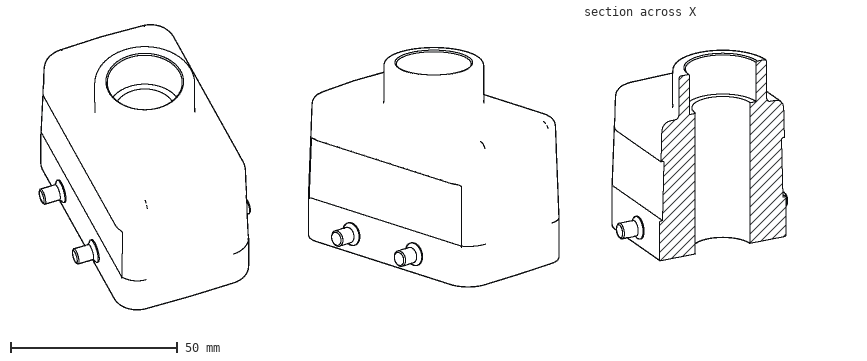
import cadquery as cq
import math

LENGTH = 72.6
WIDTH = 43.0
RIDGE_Z = 45.0
TOTAL_HEIGHT = 58.5
BASE_HEIGHT = 13.0
CORNER_RADIUS = 7.5
ROOF_EDGE_RADIUS = 3.0
FOOT_EDGE_RADIUS = 0.5

WALL_DRAFT = 1.5
PARTING_DRAFT = 1.0

PANEL_TOP_Z = 32.0
PANEL_BOTTOM_Y = 20.5
PANEL_TOP_Y = 20.0
PANEL_TOP_RADIUS = 0.5
LEDGE_RADIUS = 0.4

COLLAR_DIAMETER = 30.0
COLLAR_TOP_RADIUS = 1.0
COLLAR_FOOT_RADIUS = 1.0
BORE_DIAMETER = 22.5
BORE_DEPTH = 13.0
BORE_CHAMFER = 0.4
HOLE_DIAMETER = 18.5

PIN_SPAN_Y = 56.0
PIN_X = 13.3
PIN_Z = 6.2
PIN_DIAMETER = 4.8
PIN_TIP_CHAMFER = 0.4
PIN_SHOULDER_DIAMETER = 7.0
PIN_SHOULDER_STEP = 0.35
PIN_SHOULDER_HEIGHT = 1.4
PIN_ROOT_DEPTH = 1.0

TOLERANCE = 0.01

WALL_SLOPE = math.tan(math.radians(WALL_DRAFT))
PARTING_SLOPE = math.tan(math.radians(PARTING_DRAFT))


def plan_outline(inset):
    """Corners of the plan: a rectangle whose ends peak slightly at y = 0."""
    half_x = LENGTH / 2 - inset
    half_y = WIDTH / 2 - inset
    corner_x = half_x - half_y * PARTING_SLOPE
    return [
        (half_x, 0),
        (corner_x, half_y),
        (-corner_x, half_y),
        (-half_x, 0),
        (-corner_x, -half_y),
        (corner_x, -half_y),
    ]


def make_roof_limit():
    """Block with a ridged top that trims the body to the two roof slopes."""
    eave_z = RIDGE_Z - WIDTH / 2 * PARTING_SLOPE
    return (
        cq.Workplane("YZ")
        .polyline(
            [
                (-WIDTH / 2, 0),
                (WIDTH / 2, 0),
                (WIDTH / 2, eave_z),
                (0, RIDGE_Z),
                (-WIDTH / 2, eave_z),
            ]
        )
        .close()
        .extrude(LENGTH / 2, both=True)
    )


def round_corners(body):
    """Round the four upright corner edges, leaving the shallow peaks at y = 0 sharp."""
    corners = [
        edge
        for edge in body.edges().vals()
        if edge.BoundingBox().zlen >= BASE_HEIGHT and abs(edge.Center().y) > WIDTH / 4
    ]
    return body.newObject(corners).fillet(CORNER_RADIUS)


def make_base():
    """Straight-walled base with its foot edge rounded."""
    base = cq.Workplane("XY").polyline(plan_outline(0)).close().extrude(BASE_HEIGHT)
    return round_corners(base).faces("<Z").edges().fillet(FOOT_EDGE_RADIUS)


def round_roof_edge(body):
    """Round the rim of the roof, leaving out the ridge line."""
    lowest_eave_z = RIDGE_Z - WIDTH * PARTING_SLOPE
    rim = [
        edge
        for edge in body.edges().vals()
        if lowest_eave_z < edge.BoundingBox().zmin < RIDGE_Z - TOLERANCE
    ]
    return body.newObject(rim).fillet(ROOF_EDGE_RADIUS)


def make_upper():
    """Drafted upper part with rounded corners and a rounded roof rim."""
    upper_height = RIDGE_Z - BASE_HEIGHT
    upper = (
        cq.Workplane("XY", origin=(0, 0, BASE_HEIGHT))
        .polyline(plan_outline(0))
        .close()
        .workplane(offset=upper_height)
        .polyline(plan_outline(upper_height * WALL_SLOPE))
        .close()
        .loft(ruled=True)
        .intersect(make_roof_limit())
    )
    return round_roof_edge(round_corners(upper))


def make_panel_cutter():
    """Full-length bar removed from the +Y side of the upper part."""
    return (
        cq.Workplane("YZ")
        .polyline(
            [
                (PANEL_BOTTOM_Y, BASE_HEIGHT),
                (WIDTH, BASE_HEIGHT),
                (WIDTH, PANEL_TOP_Z),
                (PANEL_TOP_Y, PANEL_TOP_Z),
            ]
        )
        .close()
        .extrude(LENGTH / 2, both=True)
        .edges("|X and >Z and <Y")
        .fillet(PANEL_TOP_RADIUS)
    )


def make_body():
    """Base and upper part joined, with a recessed panel along each long side."""
    cutter = make_panel_cutter()
    upper = make_upper().cut(cutter).cut(cutter.mirror("XZ"))
    body = make_base().union(upper)
    ledge_edges = [
        edge
        for edge in body.edges().vals()
        if abs(edge.Center().z - BASE_HEIGHT) < TOLERANCE
        and edge.BoundingBox().zlen < TOLERANCE
        and abs(edge.Center().y) > PANEL_BOTTOM_Y + TOLERANCE
    ]
    return body.newObject(ledge_edges).fillet(LEDGE_RADIUS)


def add_collar(body):
    """Round collar on the roof, with a rounded top and a fillet around its foot."""
    collar = (
        cq.Workplane("XY", origin=(0, 0, RIDGE_Z - COLLAR_FOOT_RADIUS))
        .circle(COLLAR_DIAMETER / 2)
        .extrude(TOTAL_HEIGHT - RIDGE_Z + COLLAR_FOOT_RADIUS)
        .faces(">Z")
        .edges()
        .fillet(COLLAR_TOP_RADIUS)
    )
    joined = body.union(collar)
    foot_height = COLLAR_DIAMETER * PARTING_SLOPE
    foot_edges = [
        edge
        for edge in joined.edges().vals()
        if abs(edge.Center().x) < COLLAR_DIAMETER / 2
        and abs(edge.Center().y) < COLLAR_DIAMETER / 2
        and abs(edge.Center().z - RIDGE_Z) < foot_height
        and edge.BoundingBox().xlen > COLLAR_DIAMETER / 2
    ]
    return joined.newObject(foot_edges).fillet(COLLAR_FOOT_RADIUS)


def make_cable_passage():
    """Chamfered counterbore in the collar above a hole through the whole part."""
    bore_radius = BORE_DIAMETER / 2
    bore_floor_z = TOTAL_HEIGHT - BORE_DEPTH
    return (
        cq.Workplane("XZ")
        .polyline(
            [
                (0, 0),
                (HOLE_DIAMETER / 2, 0),
                (HOLE_DIAMETER / 2, bore_floor_z),
                (bore_radius, bore_floor_z),
                (bore_radius, TOTAL_HEIGHT - BORE_CHAMFER),
                (bore_radius + BORE_CHAMFER, TOTAL_HEIGHT),
                (0, TOTAL_HEIGHT),
            ]
        )
        .close()
        .revolve(360, (0, 0), (0, 1))
    )


def make_pin(pin_x):
    """Locking pin pointing to +Y, with a conical shoulder and a chamfered tip."""
    root_y = WIDTH / 2 - PIN_ROOT_DEPTH
    shoulder_y = WIDTH / 2 + PIN_SHOULDER_STEP
    neck_y = WIDTH / 2 + PIN_SHOULDER_HEIGHT
    tip_y = PIN_SPAN_Y / 2
    pin_radius = PIN_DIAMETER / 2
    shoulder_radius = PIN_SHOULDER_DIAMETER / 2
    return (
        cq.Workplane("XY")
        .polyline(
            [
                (0, root_y),
                (shoulder_radius, root_y),
                (shoulder_radius, shoulder_y),
                (pin_radius, neck_y),
                (pin_radius, tip_y - PIN_TIP_CHAMFER),
                (pin_radius - PIN_TIP_CHAMFER, tip_y),
                (0, tip_y),
            ]
        )
        .close()
        .revolve(360, (0, 0), (0, 1))
        .translate((pin_x, 0, PIN_Z))
    )


result = add_collar(make_body()).cut(make_cable_passage())
for pin_x in (-PIN_X, PIN_X):
    pin = make_pin(pin_x)
    result = result.union(pin).union(pin.mirror("XZ"))